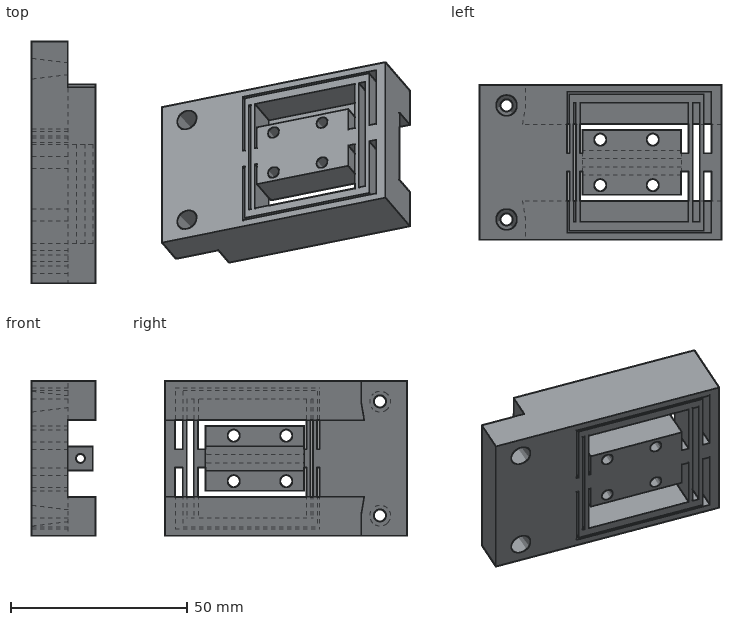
import cadquery as cq

DEPTH = 18.2
LENGTH = 68.75
HEIGHT = 44.0
FRONT_END = -LENGTH / 2
BACK_END = LENGTH / 2

PLATE_DEPTH = 10.4
LEG_DEPTH = DEPTH - PLATE_DEPTH
CHANNEL_HEIGHT = 21.8

STEP_LENGTH_OUTER = 13.05
STEP_LENGTH_INNER = 12.2

LEAF = 1.25
NARROW_GAP = 0.6
OUTER_GAP = 2.1
MIDDLE_GAP = 1.9
INNER_GAP = 2.05
RIM = 2.9
STAGE_LENGTH = 28.05
STAGE_HEIGHT = 18.4
NECK_HEIGHT = 5.2
WINDOW_HEIGHT = 33.8
CROSSBAR = 2.5
FRAME_HEIGHT = WINDOW_HEIGHT + 2 * CROSSBAR
POCKET_HEIGHT = FRAME_HEIGHT + 2 * NARROW_GAP

POCKET_FRONT = FRONT_END + RIM
FRAME_FRONT = POCKET_FRONT + OUTER_GAP
FRONT_SLOT_START = FRAME_FRONT + LEAF
FRONT_SLOT_END = FRONT_SLOT_START + MIDDLE_GAP
WINDOW_FRONT = FRONT_SLOT_END + LEAF
STAGE_FRONT = WINDOW_FRONT + INNER_GAP
STAGE_BACK = STAGE_FRONT + STAGE_LENGTH
WINDOW_BACK = STAGE_BACK + NARROW_GAP
BACK_SLOT_START = WINDOW_BACK + LEAF
BACK_SLOT_END = BACK_SLOT_START + NARROW_GAP
FRAME_BACK = BACK_SLOT_END + LEAF
POCKET_BACK = FRAME_BACK + NARROW_GAP

STAGE_HOLE_DIAMETER = 3.4
STAGE_HOLE_FIRST = 19.5
STAGE_HOLE_PITCH_Y = 14.9
STAGE_HOLE_PITCH_Z = 12.9

MOUNT_MOUTH_DIAMETER = 5.9
MOUNT_EXIT_DIAMETER = 3.4
MOUNT_FROM_BACK = 7.7
MOUNT_PITCH_Z = 32.4

RAIL_DEPTH = 7.1
RAIL_HEIGHT = 6.9
RAIL_HOLE_DIAMETER = 2.5
RAIL_HOLE_X = PLATE_DEPTH + RAIL_DEPTH / 2


def bar(x_start, x_end, y_start, y_end, height):
    """Box between two X and two Y positions, centred on Z = 0."""
    return (
        cq.Workplane("XY")
        .box(x_end - x_start, y_end - y_start, height, centered=(False, False, True))
        .translate((x_start, y_start, 0))
    )


def plate_bar(y_start, y_end, height):
    """Bar through the full depth of the plate."""
    return bar(0, PLATE_DEPTH, y_start, y_end, height)


def make_legs():
    """Two legs whose end faces lean outwards from the mounting holes to the channel."""
    outer_z = HEIGHT / 2
    inner_z = CHANNEL_HEIGHT / 2
    side = [
        (FRONT_END, inner_z),
        (BACK_END - STEP_LENGTH_INNER, inner_z),
        (BACK_END - STEP_LENGTH_OUTER, MOUNT_PITCH_Z / 2),
        (BACK_END - STEP_LENGTH_OUTER, outer_z),
        (FRONT_END, outer_z),
    ]
    upper_leg = cq.Workplane("YZ", origin=(PLATE_DEPTH, 0, 0)).polyline(side).close().extrude(LEG_DEPTH)
    return upper_leg.union(upper_leg.mirror("XY"))


def make_flexure():
    """Slotted frame, central stage and the necks that tie them to the plate."""
    frame = plate_bar(FRAME_FRONT, FRAME_BACK, FRAME_HEIGHT)
    frame = frame.cut(plate_bar(FRONT_SLOT_START, FRONT_SLOT_END, WINDOW_HEIGHT))
    frame = frame.cut(plate_bar(WINDOW_FRONT, WINDOW_BACK, WINDOW_HEIGHT))
    frame = frame.cut(plate_bar(BACK_SLOT_START, BACK_SLOT_END, WINDOW_HEIGHT))
    stage = plate_bar(STAGE_FRONT, STAGE_BACK, STAGE_HEIGHT)
    flexure = frame.union(stage)
    necks = [
        (POCKET_FRONT, FRAME_FRONT),
        (WINDOW_FRONT, STAGE_FRONT),
        (STAGE_BACK, WINDOW_BACK),
        (FRAME_BACK, POCKET_BACK),
    ]
    for y_start, y_end in necks:
        flexure = flexure.union(plate_bar(y_start, y_end, NECK_HEIGHT))
    return flexure


def make_stage_holes():
    """Four straight holes through the stage."""
    centre_y = FRONT_END + STAGE_HOLE_FIRST + STAGE_HOLE_PITCH_Y / 2
    return (
        cq.Workplane("YZ")
        .center(centre_y, 0)
        .rarray(STAGE_HOLE_PITCH_Y, STAGE_HOLE_PITCH_Z, 2, 2)
        .circle(STAGE_HOLE_DIAMETER / 2)
        .extrude(PLATE_DEPTH)
    )


def make_mount_hole(z):
    """Hole that tapers from its mouth at X = 0 to the back of the plate."""
    return cq.Workplane(
        cq.Solid.makeCone(
            MOUNT_MOUTH_DIAMETER / 2,
            MOUNT_EXIT_DIAMETER / 2,
            PLATE_DEPTH,
            pnt=cq.Vector(0, BACK_END - MOUNT_FROM_BACK, z),
            dir=cq.Vector(1, 0, 0),
        )
    )


def make_rail():
    """Square rail along the back of the stage with a hole along Y."""
    rail = bar(PLATE_DEPTH, PLATE_DEPTH + RAIL_DEPTH, STAGE_FRONT, STAGE_BACK, RAIL_HEIGHT)
    bore = (
        cq.Workplane("XZ", origin=(RAIL_HOLE_X, STAGE_BACK, 0))
        .circle(RAIL_HOLE_DIAMETER / 2)
        .extrude(STAGE_LENGTH)
    )
    return rail.cut(bore)


plate = plate_bar(FRONT_END, BACK_END, HEIGHT)
plate = plate.cut(plate_bar(POCKET_FRONT, POCKET_BACK, POCKET_HEIGHT))
plate = plate.union(make_flexure())
plate = plate.cut(make_stage_holes())
for mount_z in (-MOUNT_PITCH_Z / 2, MOUNT_PITCH_Z / 2):
    plate = plate.cut(make_mount_hole(mount_z))

result = plate.union(make_legs()).union(make_rail())